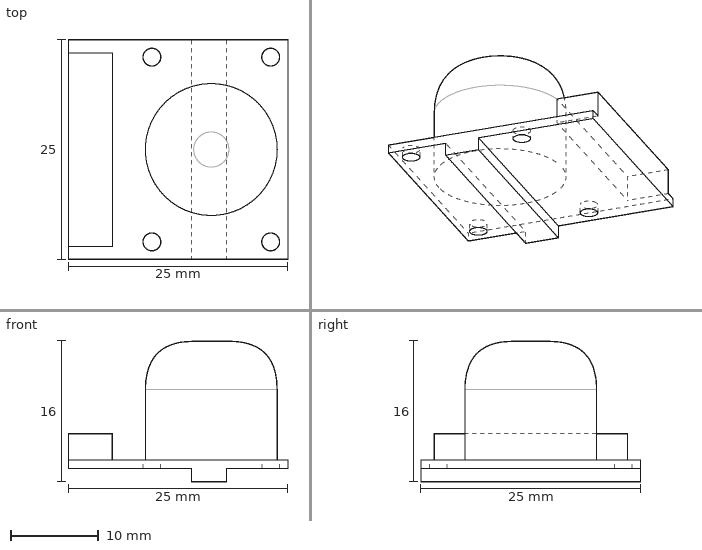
import cadquery as cq

board_size = 25.0
board_thickness = 1.0

hole_diameter = 2.0
hole_edge_inset = 2.0
hole_pitch_x = 13.5

connector_width = 5.0
connector_height = 3.0
connector_end_gap = 1.5

cap_diameter = 15.0
cap_wall_height = 8.0
cap_flat_diameter = 4.0
dome_height = 5.5

bar_width = 4.0
bar_height = 1.5
bar_offset_x = 14.0

edge = board_size / 2
hole_x_right = edge - hole_edge_inset
hole_x_left = hole_x_right - hole_pitch_x
hole_y = edge - hole_edge_inset
cap_x = (hole_x_left + hole_x_right) / 2


def box_between(x_range, y_half, z_range):
    """Box centred on Y that fills the given X and Z ranges."""
    x_min, x_max = x_range
    z_min, z_max = z_range
    return (
        cq.Workplane("XY", origin=(x_min, 0, z_min))
        .box(x_max - x_min, 2 * y_half, z_max - z_min, centered=(False, True, False))
    )


def make_board():
    hole_points = [(x, y) for x in (hole_x_left, hole_x_right) for y in (-hole_y, hole_y)]
    board = box_between((-edge, edge), edge, (0, board_thickness))
    return board.faces(">Z").workplane(origin=(0, 0, 0)).pushPoints(hole_points).hole(hole_diameter)


def make_cap():
    """Revolved cap: straight wall, then a parabolic shoulder up to a small flat."""
    cap_radius = cap_diameter / 2
    cap_height = cap_wall_height + dome_height
    shoulder_start = (cap_radius, cap_wall_height)
    shoulder_corner = (cap_radius, cap_height)
    shoulder_end = (cap_flat_diameter / 2, cap_height)
    return (
        cq.Workplane("XZ", origin=(cap_x, 0, board_thickness))
        .lineTo(cap_radius, 0)
        .lineTo(*shoulder_start)
        .bezier([shoulder_start, shoulder_corner, shoulder_end])
        .lineTo(0, cap_height)
        .close()
        .revolve(360, (0, 0), (0, 1))
    )


connector = box_between(
    (-edge, -edge + connector_width),
    edge - connector_end_gap,
    (board_thickness, board_thickness + connector_height),
)
bar_x = -edge + bar_offset_x
bar = box_between((bar_x, bar_x + bar_width), edge, (-bar_height, 0))

result = make_board().union(connector).union(make_cap()).union(bar)